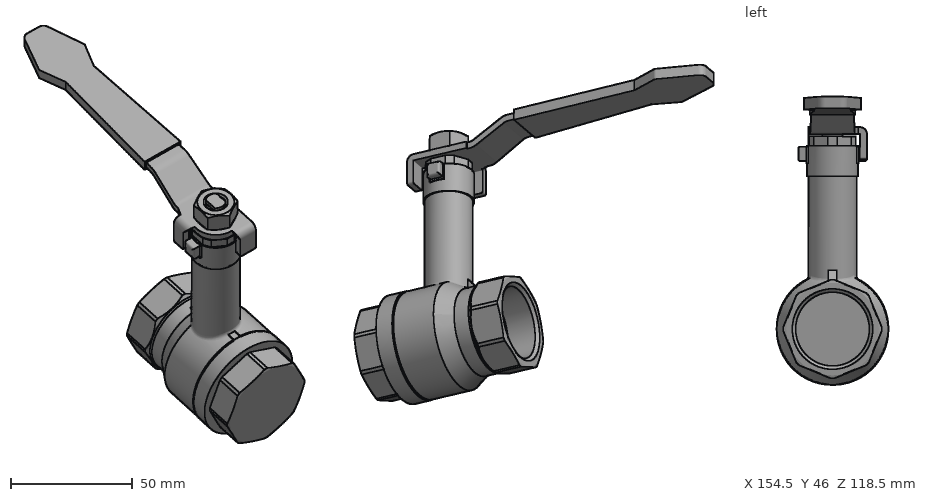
import cadquery as cq
import math

END_X = 33.5
OCTAGON_CORNER_R = 20.5
OCTAGON_TURNED_R = 20.2
LEFT_OCTAGON_LENGTH = 13.8
OCTAGON_FACE_CHAMFER_RUN = 1.2
OCTAGON_FACE_CHAMFER_DEPTH = 0.3
OCTAGON_BACK_CHAMFER = 1.4
NECK_R = 18.5
NECK_START_X = -18.9
CONE_START_X = -12.2
CONE_END_X = -5.0
BARREL_R = 22.9
RING_R = 23.0
RING_START_X = 14.2
RING_END_X = 21.6
GROOVE_WIDTH = 0.5
GROOVE_DEPTH = 0.3
BORE_R = 15.1
BORE_MOUTH_R = 16.5
BORE_MOUTH_DEPTH = 1.4
BORE_DEPTH = 13.9

COLUMN_R = 20.0 / 2
COLUMN_FOOT_FILLET = 1.5
COLLAR_R = 21.0 / 2
COLLAR_BOTTOM = 62.7
COLLAR_TOP = 75.3
RIB_WIDTH = 3.4
LEFT_RIB_FOOT_X = -14.8
LEFT_RIB_TOP_Z = 24.1
RIGHT_RIB_TOP_Z = 23.2

LUG_WIDTH = 5.9
LUG_REACH = 14.0
LUG_BOTTOM = 68.9
LUG_TOP = 75.0
LUG_ROUNDING = 1.0
LUG_BASE_WIDTH = 6.5
LUG_BASE_REACH = 10.8
LUG_BASE_BOTTOM = 68.0

GLAND_FLATS = 19.2
GLAND_CORNER_FLATS = 20.0
GLAND_TOP = 79.1
STEM_R = 4.2
STEM_TOP = 92.2
STEM_TIP_FLATS = 5.9
STEM_TIP_LENGTH = 1.9
NUT_CORNERS = 18.2
NUT_TOP = 91.6
NUT_MOUTH_R = 10.0 / 2
NUT_CHAMFER_RUN = 1.5
NUT_CHAMFER_RISE = 1.0

PLATE_THICKNESS = 3.0
PLATE_TOP = 83.0
PLATE_HALF_WIDTH = 10.5
PLATE_BACK_Y = 9.9
PLATE_LEFT_X = -13.3
PLATE_EDGE_FRONT_Y = -1.5
TAB_BOTTOM = 69.7
TAB_BEND_R = 3.1
TAB_CORNER_R = 1.0
FRONT_TAB_OUTER_Y = -14.2
FRONT_TAB_LEFT_X = -9.9
FRONT_TAB_RIGHT_X = -3.4
FRONT_BEND_RIGHT_X = -0.8
SIDE_TAB_OUTER_X = 14.2
SIDE_TAB_FRONT_Y = 1.5
SIDE_BEND_FRONT_Y = 0.2

ARM_BEND_X = -15.3
ARM_TOP_X = -30.1
ARM_TOP_Z = 91.6
ARM_WIDTH = 18.2
ARM_GRIP_WIDTH = 16.8
ARM_BEND_INNER_R = 3.9
ARM_OVERLAP = 1.5

GRIP_LEFT_X = -121.0
GRIP_RIGHT_X = -35.2
GRIP_THICKNESS = 4.8
GRIP_LEFT_TOP = 95.5
GRIP_RIGHT_TOP = 92.9
GRIP_RIGHT_HALF = 9.5
GRIP_WAIST_X = -90.1
GRIP_WAIST_HALF = 7.4
GRIP_PEAK_X = -101.8
GRIP_PEAK_HALF = 11.9
GRIP_END_HALF = 5.3
GRIP_PEAK_R = 1.5
GRIP_END_R = 3.1


def octagon_end(start, length):
    """Octagonal wrench end with its face at -X, a corner at the top and turned corners."""
    octagon = cq.Workplane("YZ", origin=(start, 0, 0)).polygon(8, 2 * OCTAGON_CORNER_R).extrude(length)
    turned = cq.Workplane("XY").polyline([
        (start, 0),
        (start, OCTAGON_TURNED_R - OCTAGON_FACE_CHAMFER_RUN),
        (start + OCTAGON_FACE_CHAMFER_DEPTH, OCTAGON_TURNED_R),
        (start + length - OCTAGON_BACK_CHAMFER, OCTAGON_TURNED_R),
        (start + length, OCTAGON_TURNED_R - OCTAGON_BACK_CHAMFER),
        (start + length, 0),
    ]).close().revolve(360, (0, 0, 0), (1, 0, 0))
    return octagon.intersect(turned)


def make_body():
    """Revolved barrel with its cone, groove and ring, between two octagonal ends."""
    groove_start = RING_START_X - GROOVE_WIDTH
    groove_r = BARREL_R - GROOVE_DEPTH
    shoulder_x = -END_X + LEFT_OCTAGON_LENGTH
    half_section = [
        (shoulder_x - OCTAGON_BACK_CHAMFER, 0),
        (shoulder_x - OCTAGON_BACK_CHAMFER, NECK_R),
        (shoulder_x, OCTAGON_TURNED_R - OCTAGON_BACK_CHAMFER),
        (NECK_START_X, NECK_R),
        (CONE_START_X, NECK_R),
        (CONE_END_X, BARREL_R),
        (groove_start, BARREL_R),
        (groove_start, groove_r),
        (RING_START_X, groove_r),
        (RING_START_X, RING_R),
        (RING_END_X, RING_R),
        (RING_END_X, 0),
    ]
    barrel = cq.Workplane("XY").polyline(half_section).close().revolve(360, (0, 0, 0), (1, 0, 0))
    left_end = octagon_end(-END_X, LEFT_OCTAGON_LENGTH)
    right_end = octagon_end(-END_X, END_X - RING_END_X + OCTAGON_BACK_CHAMFER).mirror("YZ")
    return barrel.union(left_end).union(right_end)


def make_bore():
    """Blind bore with a conical mouth, opening at the left pipe end."""
    half_section = [
        (0, 0),
        (0, BORE_MOUTH_R),
        (BORE_MOUTH_DEPTH, BORE_R),
        (BORE_DEPTH, BORE_R),
        (BORE_DEPTH, 0),
    ]
    bore = cq.Workplane("XY").polyline(half_section).close().revolve(360, (0, 0, 0), (1, 0, 0))
    return bore.translate((-END_X, 0, 0))


def cylinder_along_z(radius, bottom, top):
    return cq.Workplane("XY", origin=(0, 0, bottom)).circle(radius).extrude(top - bottom)


def add_column(body):
    """Column rising from the barrel, blended at its foot and topped by the collar."""
    joined = body.union(cylinder_along_z(COLUMN_R, 0, COLLAR_BOTTOM))
    reach = COLUMN_R + COLUMN_FOOT_FILLET
    foot = cq.selectors.BoxSelector(
        (-reach, -reach, NECK_R - COLUMN_FOOT_FILLET),
        (reach, reach, BARREL_R + COLUMN_FOOT_FILLET),
    )
    joined = joined.edges(foot).edges("not %LINE").fillet(COLUMN_FOOT_FILLET)
    return joined.union(cylinder_along_z(COLLAR_R, COLLAR_BOTTOM, COLLAR_TOP))


def make_ribs():
    """Sloping rib over the neck and low rib over the groove, either side of the column."""
    ribs = cq.Workplane("XZ").polyline([
        (LEFT_RIB_FOOT_X, NECK_R),
        (-COLUMN_R, LEFT_RIB_TOP_Z),
        (0, LEFT_RIB_TOP_Z),
        (0, RIGHT_RIB_TOP_Z),
        (RING_START_X, RIGHT_RIB_TOP_Z),
        (RING_START_X, NECK_R),
    ]).close()
    return ribs.extrude(RIB_WIDTH / 2, both=True)


def make_lug(side):
    """Rounded stop lug on a wider base; side is +1 for the +Y lug and -1 for the -Y lug."""
    corner = (True, False, False)
    lug = cq.Workplane("XY").box(LUG_WIDTH, LUG_REACH, LUG_TOP - LUG_BOTTOM, centered=corner)
    lug = lug.faces(">Y").edges().fillet(LUG_ROUNDING).translate((0, 0, LUG_BOTTOM))
    base = cq.Workplane("XY").box(LUG_BASE_WIDTH, LUG_BASE_REACH, LUG_TOP - LUG_BASE_BOTTOM, centered=corner)
    lug = lug.union(base.translate((0, 0, LUG_BASE_BOTTOM)))
    return lug if side > 0 else lug.mirror("XZ")


def make_gland():
    """Hexagonal gland with its six corners cut flat."""
    to_corner = 1 / math.cos(math.pi / 6)
    height = GLAND_TOP - COLLAR_TOP
    hexagon = cq.Workplane("XY").polygon(6, GLAND_FLATS * to_corner).extrude(height)
    corners = cq.Workplane("XY").polygon(6, GLAND_CORNER_FLATS * to_corner).extrude(height)
    gland = hexagon.intersect(corners.rotate((0, 0, 0), (0, 0, 1), 30))
    return gland.translate((0, 0, COLLAR_TOP))


def make_nut_and_stem():
    """Stem with a flattened tip standing inside a nut chamfered on both faces."""
    height = NUT_TOP - PLATE_TOP
    hexagon = cq.Workplane("XY").polygon(6, NUT_CORNERS).extrude(height)
    turned = cq.Workplane("XY").circle(NUT_CORNERS / 2).extrude(height)
    turned = turned.faces(">Z").chamfer(NUT_CHAMFER_RISE, NUT_CHAMFER_RUN)
    turned = turned.faces("<Z").chamfer(NUT_CHAMFER_RISE, NUT_CHAMFER_RUN)
    nut = hexagon.intersect(turned).translate((0, 0, PLATE_TOP))

    countersink_depth = NUT_MOUTH_R - STEM_R
    countersink = cq.Workplane("XZ").polyline([
        (0, NUT_TOP),
        (NUT_MOUTH_R, NUT_TOP),
        (STEM_R, NUT_TOP - countersink_depth),
        (STEM_R, STEM_TOP - STEM_TIP_LENGTH),
        (0, STEM_TOP - STEM_TIP_LENGTH),
    ]).close().revolve(360, (0, 0, 0), (0, 1, 0))

    tip = cylinder_along_z(STEM_R, STEM_TOP - STEM_TIP_LENGTH, STEM_TOP)
    tip = tip.intersect(cq.Workplane("XY").box(2 * STEM_R, STEM_TIP_FLATS, 2 * STEM_TOP))
    shank = cylinder_along_z(STEM_R, COLLAR_TOP, STEM_TOP - STEM_TIP_LENGTH)
    return nut.cut(countersink).union(shank).union(tip)


def make_plate():
    """Flat handle plate over the gland, rounded at its front right corner."""
    corner_x = math.sqrt(PLATE_HALF_WIDTH**2 - PLATE_EDGE_FRONT_Y**2)
    diagonal = PLATE_HALF_WIDTH / math.sqrt(2)
    outline = (
        cq.Workplane("XY", origin=(0, 0, PLATE_TOP - PLATE_THICKNESS))
        .moveTo(PLATE_LEFT_X, PLATE_BACK_Y)
        .lineTo(corner_x, PLATE_BACK_Y)
        .lineTo(corner_x, PLATE_EDGE_FRONT_Y)
        .threePointArc((diagonal, -diagonal), (0, -PLATE_HALF_WIDTH))
        .lineTo(FRONT_TAB_LEFT_X, -PLATE_HALF_WIDTH)
        .lineTo(PLATE_LEFT_X, -ARM_WIDTH / 2)
        .close()
    )
    return outline.extrude(PLATE_THICKNESS)


def bent_tab(reach, straight_y, bend_y, tip_y):
    """Tab running out along +X to reach, then bent down.

    One side is straight at straight_y; the other goes from bend_y at the plate to tip_y below the bend.
    """
    inner = reach - PLATE_THICKNESS
    bend_inner_r = TAB_BEND_R - PLATE_THICKNESS
    profile = (
        cq.Workplane("XZ")
        .moveTo(reach - 2 * TAB_BEND_R, PLATE_TOP)
        .lineTo(reach - TAB_BEND_R, PLATE_TOP)
        .radiusArc((reach, PLATE_TOP - TAB_BEND_R), TAB_BEND_R)
        .lineTo(reach, TAB_BOTTOM)
        .lineTo(inner, TAB_BOTTOM)
        .lineTo(inner, PLATE_TOP - TAB_BEND_R)
        .radiusArc((inner - bend_inner_r, PLATE_TOP - PLATE_THICKNESS), -bend_inner_r)
        .lineTo(reach - 2 * TAB_BEND_R, PLATE_TOP - PLATE_THICKNESS)
        .close()
    )
    bend_bottom = PLATE_TOP - TAB_BEND_R
    tab_face = cq.Workplane("YZ").polyline([
        (straight_y, PLATE_TOP),
        (bend_y, PLATE_TOP),
        (tip_y, bend_bottom),
        (tip_y, TAB_BOTTOM),
        (straight_y, TAB_BOTTOM),
    ]).close().extrude(reach)
    tab_face = tab_face.faces("<Z").edges("|X").fillet(TAB_CORNER_R)
    return profile.extrude(2 * PLATE_HALF_WIDTH, both=True).intersect(tab_face)


def make_tabs():
    """Side tab at the right edge and front tab at the front edge of the plate."""
    side_tab = bent_tab(SIDE_TAB_OUTER_X, PLATE_BACK_Y, SIDE_BEND_FRONT_Y, SIDE_TAB_FRONT_Y)
    front_tab = bent_tab(-FRONT_TAB_OUTER_Y, FRONT_TAB_LEFT_X, FRONT_BEND_RIGHT_X, FRONT_TAB_RIGHT_X)
    return side_tab.union(front_tab.rotate((0, 0, 0), (0, 0, 1), -90))


def grip_tilt():
    """Rise of the grip per unit of length towards -X."""
    return (GRIP_LEFT_TOP - GRIP_RIGHT_TOP) / (GRIP_RIGHT_X - GRIP_LEFT_X)


def make_arm():
    """Cranked strip from the plate up to the grip, tapering slightly in width."""
    strip_end_x = GRIP_RIGHT_X - ARM_OVERLAP
    strip_end_z = ARM_TOP_Z + grip_tilt() * (ARM_TOP_X - strip_end_x)
    top_line = [
        (PLATE_LEFT_X, PLATE_TOP),
        (ARM_BEND_X, PLATE_TOP),
        (ARM_TOP_X, ARM_TOP_Z),
        (strip_end_x, strip_end_z),
    ]
    slope = math.atan2(ARM_TOP_Z - PLATE_TOP, ARM_BEND_X - ARM_TOP_X)
    shift = PLATE_THICKNESS * math.tan(slope / 2)
    bottom_line = [
        (strip_end_x, strip_end_z - PLATE_THICKNESS),
        (ARM_TOP_X - shift, ARM_TOP_Z - PLATE_THICKNESS),
        (ARM_BEND_X - shift, PLATE_TOP - PLATE_THICKNESS),
        (PLATE_LEFT_X, PLATE_TOP - PLATE_THICKNESS),
    ]
    strip = cq.Workplane("XZ").polyline(top_line + bottom_line).close().extrude(ARM_WIDTH / 2, both=True)
    outer_r = ARM_BEND_INNER_R + PLATE_THICKNESS
    for (x, z), radius in (
        (top_line[1], ARM_BEND_INNER_R),
        (top_line[2], outer_r),
        (bottom_line[1], ARM_BEND_INNER_R),
        (bottom_line[2], outer_r),
    ):
        strip = strip.edges(cq.selectors.NearestToPointSelector((x, 0, z))).fillet(radius)
    plan = cq.Workplane("XY").polyline([
        (PLATE_LEFT_X, ARM_WIDTH / 2),
        (ARM_BEND_X, ARM_WIDTH / 2),
        (strip_end_x, ARM_GRIP_WIDTH / 2),
        (strip_end_x, -ARM_GRIP_WIDTH / 2),
        (ARM_BEND_X, -ARM_WIDTH / 2),
        (PLATE_LEFT_X, -ARM_WIDTH / 2),
    ]).close().extrude(2 * PLATE_TOP)
    return strip.intersect(plan)


def make_grip():
    """Slightly tilted grip with a waist and a pointed head."""
    plus_y_edge = [
        (GRIP_RIGHT_X, GRIP_RIGHT_HALF),
        (GRIP_WAIST_X, GRIP_WAIST_HALF),
        (GRIP_PEAK_X, GRIP_PEAK_HALF),
        (GRIP_LEFT_X, GRIP_END_HALF),
    ]
    minus_y_edge = [(x, -y) for x, y in reversed(plus_y_edge)]
    plan = cq.Workplane("XY").polyline(plus_y_edge + minus_y_edge).close().extrude(2 * PLATE_TOP)
    for y_sign in (1, -1):
        for x, y, radius in (
            (GRIP_PEAK_X, GRIP_PEAK_HALF, GRIP_PEAK_R),
            (GRIP_LEFT_X, GRIP_END_HALF, GRIP_END_R),
        ):
            corner = cq.selectors.NearestToPointSelector((x, y_sign * y, PLATE_TOP))
            plan = plan.edges("|Z").edges(corner).fillet(radius)
    side_outline = cq.Workplane("XZ").polyline([
        (GRIP_LEFT_X, GRIP_LEFT_TOP),
        (GRIP_RIGHT_X, GRIP_RIGHT_TOP),
        (GRIP_RIGHT_X, GRIP_RIGHT_TOP - GRIP_THICKNESS),
        (GRIP_LEFT_X, GRIP_LEFT_TOP - GRIP_THICKNESS),
    ]).close().extrude(GRIP_PEAK_HALF, both=True)
    return plan.intersect(side_outline)


valve = add_column(make_body()).union(make_ribs()).cut(make_bore())
for side in (1, -1):
    valve = valve.union(make_lug(side))
valve = valve.union(make_gland()).union(make_nut_and_stem())
handle = make_plate().union(make_tabs()).union(make_arm()).union(make_grip())
result = valve.union(handle)